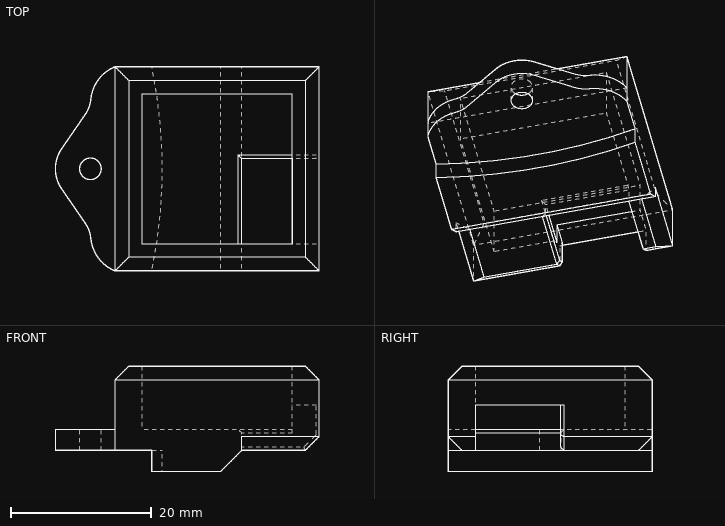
import cadquery as cq
import math

side = 29.0
height = 15.0
pad_height = 3.0
bevel = 2.0

pocket_side = 21.3
pocket_floor = 6.0
pocket_edge = (side - pocket_side) / 2

pad_start = 5.2
pad_end = 18.0
pad_slope = pad_height
pad_hollow_depth = 1.5

opening_width = 12.1
opening_top = 9.45
opening_rim = 0.5

tolerance = 0.005

ear_reach = 8.45
ear_thickness = 3.0
ear_tip_radius = 5.0
ear_hole_diameter = 3.05
ear_flank_angle = 34.5
ear_flank_end_y = 7.8
ear_shoulder = (-3.45, 9.8)


def make_housing():
    """Block bevelled around its top, and around its bottom beyond the pad."""
    block = cq.Workplane("XY").box(side, side, height - pad_height, centered=(False, True, False))
    top_bevelled = block.faces(">Z").edges().chamfer(bevel)
    bevelled = block.edges("|X or |Y").chamfer(bevel)
    beyond_pad = cq.Workplane("XY").box(side, side, height, centered=(False, True, False))
    beyond_pad = beyond_pad.translate((pad_end, 0, 0))
    housing = top_bevelled.cut(beyond_pad).union(bevelled.intersect(beyond_pad))
    return housing.translate((0, 0, pad_height))


def make_pad():
    """Full-width pad with a sloped +X side and a shallow hollow curve on its -X side."""
    profile = [
        (0, 0),
        (pad_end - pad_slope, 0),
        (pad_end, pad_height),
        (0, pad_height),
    ]
    pad = cq.Workplane("XZ").polyline(profile).close().extrude(side / 2, both=True)
    hollow = (
        cq.Workplane("XY")
        .moveTo(0, -side / 2)
        .lineTo(pad_start, -side / 2)
        .threePointArc((pad_start + pad_hollow_depth, 0), (pad_start, side / 2))
        .lineTo(0, side / 2)
        .close()
        .extrude(pad_height)
    )
    return pad.cut(hollow)


def make_ear():
    """Flat ear: round tip, straight flanks and curved shoulders reaching the housing corners."""
    hole_x = ear_tip_radius - ear_reach
    flank = math.radians(ear_flank_angle)
    flank_start = (hole_x - ear_tip_radius * math.cos(flank), ear_tip_radius * math.sin(flank))
    flank_end_x = flank_start[0] + (ear_flank_end_y - flank_start[1]) * math.tan(flank)
    half = (
        cq.Workplane("XY")
        .moveTo(-ear_reach, 0)
        .radiusArc(flank_start, ear_tip_radius)
        .lineTo(flank_end_x, ear_flank_end_y)
        .tangentArcPoint(ear_shoulder, relative=False)
        .tangentArcPoint((0, side / 2), relative=False)
        .lineTo(0, 0)
        .close()
        .extrude(ear_thickness)
    )
    ear = half.union(half.mirror("XZ")).clean()
    hole = cq.Workplane("XY").center(hole_x, 0).circle(ear_hole_diameter / 2).extrude(ear_thickness)
    return ear.cut(hole).translate((0, 0, pad_height))


def make_pocket():
    """Square pocket, left open above the floor."""
    pocket = cq.Workplane("XY").box(pocket_side, pocket_side, height, centered=(False, True, False))
    return pocket.translate((pocket_edge, 0, pocket_floor))


def make_opening():
    """Opening along the -Y pocket wall, with a bevelled rim where it meets the pocket floor."""
    front = -pocket_side / 2
    opening = cq.Workplane("XY").box(side - pad_end, opening_width, opening_top, centered=False)
    rim_block = cq.Workplane("XY").box(
        side - pocket_edge - pad_end + opening_rim,
        opening_width + opening_rim,
        2 * opening_rim,
        centered=False,
    )
    rim = rim_block.edges("<Z and (<X or >Y)").chamfer(opening_rim)
    rim = rim.translate((-opening_rim, 0, pocket_floor - opening_rim))
    return opening.union(rim).translate((pad_end, front, 0))


def bevel_opening_outside(body):
    """Bevel the outer edges of the opening's +Y wall: bottom, slope and upright."""
    wall_y = opening_width - pocket_side / 2
    def is_outside_edge(edge):
        middle = edge.Center()
        on_wall = abs(middle.y - wall_y) < tolerance and edge.BoundingBox().ylen < tolerance
        on_bottom = abs(middle.z - pad_height) < tolerance and middle.x > pad_end
        on_slope_or_upright = middle.x > side - bevel and edge.BoundingBox().zlen > tolerance
        return on_wall and (on_bottom or on_slope_or_upright)

    return body.edges().filter(is_outside_edge).chamfer(opening_rim)


result = make_housing().union(make_pad()).union(make_ear())
result = result.cut(make_pocket()).cut(make_opening())
result = bevel_opening_outside(result)